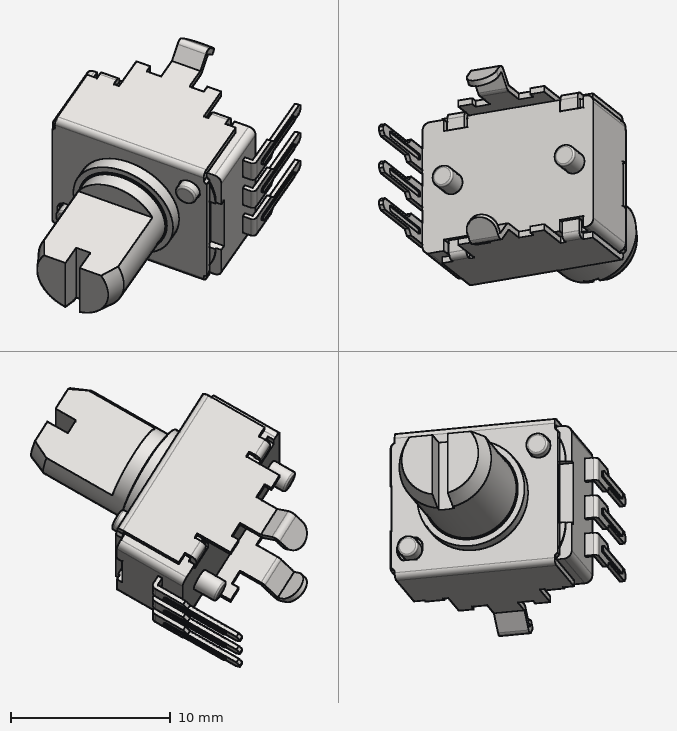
import cadquery as cq
import math


plate_thickness = 0.45
wall_thickness = 0.4
wall_bend_radius = 0.39
wall_outer_z = 4.85
wall_inner_z = wall_outer_z - wall_thickness
wall_half_width = 5.2
wall_rear_y = 4.5
plate_half_width = 5.41
shoulder_height = 0.2
top_shoulder_z = 3.95
bottom_shoulder_z = -4.15
tongue_half_width = 2.97
tongue_notch_y = 6.45
tongue_rear_y = 6.95
tongue_notch_half_width = 2.0
clip_half_width = 1.0
clip_bend_y = 7.96
clip_end_y = 10.53
top_clip_rise = 0.8
bottom_clip_rise = 0.96
crimp_width = 1.18
crimp_length = 1.2
crimp_centres_x = (-3.93, 3.88)
top_crimp_bend_y = 4.91
bottom_crimp_bend_y = 4.67

housing_left_x = -5.63
housing_right_x = 6.17
housing_half_height = 4.41
housing_front_y = 0.55
housing_rear_y = 5.35
housing_corner_radius = 0.5
pad_half_width = 5.8
pad_left_x = -5.1
pad_half_height = 4.4
pad_corner_radius = 3.32
notch_depth = 0.39
notch_inner_x = 5.25
left_notch_half_height = 1.5
right_notch_half_height = 2.03
collar_radius = 3.5
collar_front_y = -0.85
pin_x = 4.21
pin_z = 3.0
pin_front_y = -0.61
upper_pin_radius = 0.7
lower_pin_radius = 0.66
pin_rounding = 0.13
round_hole_radius = 0.74
slot_end_radius = 0.85
slot_half_height = 0.74
post_radius = 0.7
post_rear_y = 6.9
post_positions_x = (-4.32, 4.1)
crimp_recess_width = 1.63
crimp_recess_centres_x = (-4.12, 3.88)

shaft_radius = 3.0
shoulder_radius = 3.07
shoulder_front_y = -0.96
flat_start_y = -1.94
flat_z = 1.5
taper_start_y = -6.75
shaft_tip_y = -7.95
tip_radius = 2.5
slot_width = 1.0
slot_depth = 1.5

terminal_pitch = 2.5
terminal_thickness = 0.3
terminal_bend_radius = 0.28
terminal_outer_x = 7.0
terminal_inner_x = terminal_outer_x - terminal_thickness
terminal_foot_y = 3.56
terminal_neck_start_y = 5.9
terminal_neck_end_y = 6.22
terminal_tip_y = 10.05
terminal_wide_half = 0.74
terminal_narrow_half = 0.39
terminal_tip_chamfer = 0.25
rib_height = 0.11
rib_width = 0.4
rib_front_y = 4.5
rib_rear_y = 9.05


def block(x0, x1, y0, y1, z0, z1):
    """A box given by its limits along each axis."""
    return cq.Workplane("XY").box(x1 - x0, y1 - y0, z1 - z0, centered=False).translate((x0, y0, z0))


def rod(x, z, radius, y0, y1):
    """A cylinder along Y from y0 to y1."""
    return cq.Workplane("XZ", origin=(x, y1, z)).circle(radius).extrude(y1 - y0)



def front_plate():
    """The front plate, slightly wider than the side walls between its chamfered shoulders."""
    right_side = [
        (wall_half_width, -wall_inner_z),
        (wall_half_width, bottom_shoulder_z - shoulder_height),
        (plate_half_width, bottom_shoulder_z),
        (plate_half_width, top_shoulder_z),
        (wall_half_width, top_shoulder_z + shoulder_height),
        (wall_half_width, wall_inner_z),
    ]
    left_side = [(-x, z) for x, z in reversed(right_side)]
    plate = cq.Workplane("XZ", origin=(0, plate_thickness, 0))
    plate = plate.polyline(right_side + left_side).close().extrude(plate_thickness)
    collar_hole = rod(0, 0, collar_radius, 0, plate_thickness)
    round_hole = rod(pin_x, pin_z, round_hole_radius, 0, plate_thickness)
    slot_limits = block(
        -pin_x - slot_end_radius, -pin_x + slot_end_radius,
        0, plate_thickness,
        -pin_z - slot_half_height, -pin_z + slot_half_height,
    )
    slotted_hole = rod(-pin_x, -pin_z, slot_end_radius, 0, plate_thickness).intersect(slot_limits)
    return plate.cut(collar_hole).cut(round_hole).cut(slotted_hole)


def flat_wall():
    """The upper side wall up to the clip bend, rounded where it bends from the front plate."""
    right_side = [
        (wall_half_width, 0),
        (wall_half_width, wall_rear_y),
        (tongue_half_width, wall_rear_y),
        (tongue_half_width, tongue_rear_y),
        (tongue_notch_half_width, tongue_rear_y),
        (tongue_notch_half_width, tongue_notch_y),
        (clip_half_width, tongue_notch_y),
        (clip_half_width, clip_bend_y),
    ]
    left_side = [(-x, y) for x, y in reversed(right_side)]
    wall = cq.Workplane("XY", origin=(0, 0, wall_inner_z))
    wall = wall.polyline(right_side + left_side).close().extrude(wall_thickness)
    bend = block(-wall_half_width, wall_half_width, 0, plate_thickness, wall_inner_z, wall_outer_z)
    return wall.union(bend).edges("|X and <Y and >Z").fillet(wall_bend_radius)


def clip(rise):
    """The mounting clip: a 45 degree leg outwards, a rounded peak and a round-ended leg inwards."""
    offset = wall_thickness / math.sqrt(2)
    peak_y = clip_bend_y + offset + rise
    peak_z = wall_outer_z - offset + rise
    outward_leg = (
        cq.Workplane("YZ", origin=(-clip_half_width, 0, 0))
        .moveTo(clip_bend_y, wall_outer_z)
        .lineTo(clip_bend_y + rise, wall_outer_z + rise)
        .threePointArc((peak_y, peak_z + wall_thickness), (peak_y + offset, peak_z + offset))
        .lineTo(peak_y, peak_z)
        .lineTo(clip_bend_y + offset, wall_outer_z - offset)
        .radiusArc((clip_bend_y, wall_inner_z), wall_thickness)
        .close()
        .extrude(2 * clip_half_width)
    )
    leg_length = (clip_end_y - peak_y - offset) * math.sqrt(2)
    leg_plane = cq.Plane(origin=(0, peak_y, peak_z), xDir=(1, 0, 0), normal=(0, 1, 1))
    inward_leg = (
        cq.Workplane(leg_plane)
        .moveTo(-clip_half_width, 0)
        .lineTo(-clip_half_width, leg_length - clip_half_width)
        .threePointArc((0, leg_length), (clip_half_width, leg_length - clip_half_width))
        .lineTo(clip_half_width, 0)
        .close()
        .extrude(wall_thickness)
    )
    return outward_leg.union(inward_leg)


def crimp_tab(centre_x, bend_y):
    """A tab that continues the wall and bends 90 degrees over the rear of the housing."""
    return (
        cq.Workplane("YZ", origin=(centre_x - crimp_width / 2, 0, 0))
        .moveTo(wall_rear_y, wall_outer_z)
        .lineTo(bend_y, wall_outer_z)
        .radiusArc((bend_y + wall_thickness, wall_inner_z), wall_thickness)
        .lineTo(bend_y + wall_thickness, wall_outer_z - crimp_length)
        .lineTo(bend_y, wall_outer_z - crimp_length)
        .lineTo(bend_y, wall_inner_z)
        .lineTo(wall_rear_y, wall_inner_z)
        .close()
        .extrude(crimp_width)
    )


def side_wall(clip_rise, crimp_bend_y):
    """One complete side wall, in its upper position."""
    wall = flat_wall().union(clip(clip_rise))
    for centre_x in crimp_centres_x:
        wall = wall.union(crimp_tab(centre_x, crimp_bend_y))
    return wall


def make_frame():
    top_wall = side_wall(top_clip_rise, top_crimp_bend_y)
    bottom_wall = side_wall(bottom_clip_rise, bottom_crimp_bend_y).mirror("XY")
    return front_plate().union(top_wall).union(bottom_wall)



def housing_block():
    body = block(
        housing_left_x, housing_right_x,
        housing_front_y, housing_rear_y,
        -housing_half_height, housing_half_height,
    )
    return body.edges("|Y").fillet(housing_corner_radius)


def pad_half(x0, x1, notch_half_height):
    """The part of the pad from x0 to x1, with corner arcs that start level with the notch ends."""
    full_half_height = notch_half_height + pad_corner_radius
    rounded = block(
        -pad_half_width, pad_half_width,
        plate_thickness, housing_front_y,
        -full_half_height, full_half_height,
    )
    rounded = rounded.edges("|Y").fillet(pad_corner_radius)
    limits = block(x0, x1, plate_thickness, housing_front_y, -pad_half_height, pad_half_height)
    return rounded.intersect(limits)


def front_pad():
    """The raised pad behind the front plate: large rounded corners, cut straight on the left."""
    left_half = pad_half(pad_left_x, 0, left_notch_half_height)
    right_half = pad_half(0, pad_half_width, right_notch_half_height)
    return left_half.union(right_half)


def side_notches():
    """The notches in the front edges of the left and right sides."""
    notch_floor_y = housing_front_y + notch_depth
    left = block(
        housing_left_x, -notch_inner_x,
        plate_thickness, notch_floor_y,
        -left_notch_half_height, left_notch_half_height,
    )
    right = block(
        notch_inner_x, housing_right_x,
        plate_thickness, notch_floor_y,
        -right_notch_half_height, right_notch_half_height,
    )
    return left.union(right)


def locating_pin(x, z, radius):
    return rod(x, z, radius, pin_front_y, housing_front_y).faces("<Y").edges().fillet(pin_rounding)


def rear_post(x):
    return rod(x, 0, post_radius, housing_rear_y, post_rear_y).faces(">Y").edges().fillet(pin_rounding)


def crimp_recess(centre_x, floor_y):
    """A recess in the upper rear edge, in which a crimp tab lies."""
    half_width = crimp_recess_width / 2
    return block(
        centre_x - half_width, centre_x + half_width,
        floor_y, housing_rear_y,
        wall_outer_z - crimp_length, housing_half_height,
    )


def make_housing():
    housing = housing_block().union(front_pad()).cut(side_notches())
    housing = housing.union(rod(0, 0, collar_radius, collar_front_y, housing_front_y))
    housing = housing.union(locating_pin(pin_x, pin_z, upper_pin_radius))
    housing = housing.union(locating_pin(-pin_x, -pin_z, lower_pin_radius))
    for x in post_positions_x:
        housing = housing.union(rear_post(x))
    for centre_x in crimp_recess_centres_x:
        housing = housing.cut(crimp_recess(centre_x, top_crimp_bend_y))
        housing = housing.cut(crimp_recess(centre_x, bottom_crimp_bend_y).mirror("XY"))
    shaft_bore = rod(0, 0, shoulder_radius, collar_front_y, housing_front_y)
    return housing.cut(shaft_bore)



def make_shaft():
    profile = [
        (0, housing_front_y),
        (shoulder_radius, housing_front_y),
        (shoulder_radius, shoulder_front_y),
        (shaft_radius, shoulder_front_y),
        (shaft_radius, taper_start_y),
        (tip_radius, shaft_tip_y),
        (0, shaft_tip_y),
    ]
    shaft = cq.Workplane("XY").polyline(profile).close().revolve(360, (0, 0, 0), (0, 1, 0))
    above_flat = block(-shaft_radius, shaft_radius, shaft_tip_y, flat_start_y, flat_z, shaft_radius)
    driver_slot = block(
        -slot_width / 2, slot_width / 2,
        shaft_tip_y, shaft_tip_y + slot_depth,
        -shaft_radius, shaft_radius,
    )
    return shaft.cut(above_flat).cut(driver_slot)



def stamped_rib(z, base_x):
    """A round-ended bar, rib_height thick, starting at base_x."""
    return (
        cq.Workplane("YZ", origin=(base_x, (rib_front_y + rib_rear_y) / 2, z))
        .slot2D(rib_rear_y - rib_front_y, rib_width)
        .extrude(rib_height)
    )


def make_terminal(z):
    """An L-shaped terminal centred at height z: a foot at the housing and a blade to the rear."""
    upper_side = [
        (terminal_foot_y, terminal_wide_half),
        (terminal_neck_start_y, terminal_wide_half),
        (terminal_neck_end_y, terminal_narrow_half),
        (terminal_tip_y - terminal_tip_chamfer, terminal_narrow_half),
        (terminal_tip_y, terminal_narrow_half - terminal_tip_chamfer),
    ]
    lower_side = [(y, -half) for y, half in reversed(upper_side)]
    blade = (
        cq.Workplane("YZ", origin=(terminal_inner_x, 0, z))
        .polyline(upper_side + lower_side)
        .close()
        .extrude(terminal_thickness)
    )
    foot = block(
        housing_right_x, terminal_inner_x,
        terminal_foot_y, terminal_foot_y + terminal_thickness,
        z - terminal_wide_half, z + terminal_wide_half,
    )
    terminal = blade.union(foot).edges("|Z and >X and <Y").fillet(terminal_bend_radius)
    groove = stamped_rib(z, terminal_inner_x)
    rib = stamped_rib(z, terminal_outer_x)
    return terminal.cut(groove).union(rib)


frame = make_frame()
housing = make_housing()
shaft = make_shaft()
terminals = [make_terminal(row * terminal_pitch) for row in (-1, 0, 1)]

bodies = [frame, housing, shaft, *terminals]
result = cq.Compound.makeCompound([body.solids().val() for body in bodies])